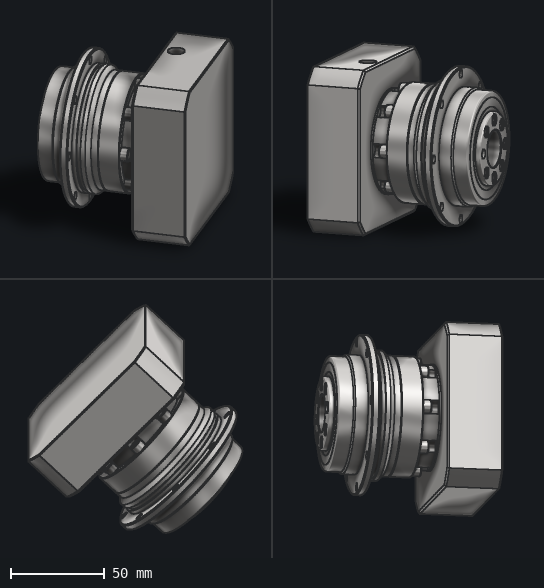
import cadquery as cq
import math


FLANGE_FACE = 0.0
HOUSING_FACE = 3.15
STEP_START = 11.4
STEP_END = 12.3
DISC_FRONT = 19.3
DISC_BACK = 23.6
GROOVE_START = 26.0
GROOVE_END = 28.4
TAPER_START = 31.05
STAGE_FRONT = 37.3
STAGE_SHOULDER = 49.4
STAGE_BACK = 58.8
PLATE_FRONT = 59.85
PLATE_BACK = 90.0

FLANGE_RADIUS = 20.0
NOSE_RADIUS = 31.05
HOUSING_RADIUS = 32.0
STAGE_RADIUS = 32.5
DISC_RADIUS = 43.0
COLLAR_RADIUS = 35.0
GROOVE_RADIUS = 33.7
EDGE_FILLET = 1.1
DISC_CHAMFER = 0.6

SEAL_INNER_RADIUS = 22.4
SEAL_OUTER_RADIUS = 27.45
SEAL_RECESS = 0.1

BORE_RADIUS = 10.0
BORE_DEPTH = 8.0
BORE_CHAMFER = 0.45

RING_COUNT = 8
DISC_HOLE_CIRCLE = 39.5
DISC_HOLE_RADIUS = 2.25
THREAD_CIRCLE = 15.75
THREAD_RADIUS = 2.1
THREAD_DEPTH = 9.9
COUNTERBORE_RADIUS = 3.15
COUNTERBORE_DEPTH = 0.9
DOWEL_RADIUS = 2.5
DRILL_POINT_ANGLE = 118.0

STAGE_CHAMFER = 0.45
NECK_RADIUS = 28.35
SCREW_CIRCLE = 28.6
SCREW_RADIUS = 3.6
SCREW_HEAD_HEIGHT = 4.6
SCREW_CHAMFER = 0.45
NOTCH_RADIUS = 3.8

LIP_RADIUS = 28.6
PLATE_SIDE = 90.0
PLATE_CORNER_RADIUS = 58.0
PLATE_FRONT_CHAMFER = 1.1
PLATE_BACK_CHAMFER = 0.5

ACCESS_X = 67.6
ACCESS_Y = 13.0
ACCESS_RADIUS = 4.6
ACCESS_DEPTH = 16.2
CLAMP_Y = 12.1
CLAMP_SEAT_RADIUS = 4.3
CLAMP_SEAT_DEPTH = 1.8
CLAMP_HOLE_RADIUS = 2.2
CLAMP_HOLE_DEPTH = 7.2
CLAMP_HOLE_CHAMFER = 0.5


def revolve_x(outline):
    """Turn an (x, radius) outline about the X axis."""
    profile = cq.Workplane("XY").polyline(outline).close()
    return profile.revolve(360, (0, 0, 0), (1, 0, 0))


def cylinder_x(radius, start, end, y=0.0, z=0.0):
    """Cylinder parallel to X."""
    plane = cq.Workplane("YZ", origin=(start, y, z))
    return plane.circle(radius).extrude(end - start)


def cylinder_down(radius, x, y, top, depth):
    """Cylinder going down from the height top."""
    plane = cq.Workplane("XY", origin=(x, y, top - depth))
    return plane.circle(radius).extrude(depth)


def drill_x(radius, start, depth, y, z):
    """Blind drilled hole along +X with a conical bottom."""
    point = radius / math.tan(math.radians(DRILL_POINT_ANGLE / 2))
    outline = [(start, 0), (start, radius), (start + depth, radius), (start + depth + point, 0)]
    return revolve_x(outline).translate((0, y, z))


def ring_places(circle_radius):
    """(y, z) places of an even ring, the first one on the +Y side."""
    angles = [2 * math.pi * i / RING_COUNT for i in range(RING_COUNT)]
    return [(circle_radius * math.cos(a), circle_radius * math.sin(a)) for a in angles]


def output_body():
    """Housing with mounting disc and groove, and the output flange on its front."""
    taper_end = TAPER_START + COLLAR_RADIUS - STAGE_RADIUS
    body = revolve_x([
        (HOUSING_FACE, 0),
        (HOUSING_FACE, NOSE_RADIUS),
        (STEP_START, NOSE_RADIUS),
        (STEP_END, HOUSING_RADIUS),
        (DISC_FRONT, HOUSING_RADIUS),
        (DISC_FRONT, COLLAR_RADIUS),
        (GROOVE_START, COLLAR_RADIUS),
        (GROOVE_START, GROOVE_RADIUS),
        (GROOVE_END, GROOVE_RADIUS),
        (GROOVE_END, COLLAR_RADIUS),
        (TAPER_START, COLLAR_RADIUS),
        (taper_end, STAGE_RADIUS),
        (STAGE_FRONT, STAGE_RADIUS),
        (STAGE_FRONT, 0),
    ])
    body = body.faces("<X").edges().fillet(EDGE_FILLET)
    disc = cylinder_x(DISC_RADIUS, DISC_FRONT, DISC_BACK).edges().chamfer(DISC_CHAMFER)
    flange = cylinder_x(FLANGE_RADIUS, FLANGE_FACE, HOUSING_FACE)
    flange = flange.faces("<X").edges().fillet(EDGE_FILLET)
    return body.union(disc).union(flange)


def seal_recess():
    """Shallow ring in the housing face, where the shaft seal sits."""
    end = HOUSING_FACE + SEAL_RECESS
    outer = cylinder_x(SEAL_OUTER_RADIUS, HOUSING_FACE, end)
    return outer.cut(cylinder_x(SEAL_INNER_RADIUS, HOUSING_FACE, end))


def centring_bore():
    """Blind bore in the output flange with a chamfered mouth."""
    mouth = BORE_RADIUS + BORE_CHAMFER
    return revolve_x([
        (FLANGE_FACE, 0),
        (FLANGE_FACE, mouth),
        (FLANGE_FACE + BORE_CHAMFER, BORE_RADIUS),
        (FLANGE_FACE + BORE_DEPTH, BORE_RADIUS),
        (FLANGE_FACE + BORE_DEPTH, 0),
    ])


def make_output_unit():
    unit = output_body().cut(seal_recess()).cut(centring_bore())
    for y, z in ring_places(DISC_HOLE_CIRCLE):
        unit = unit.cut(cylinder_x(DISC_HOLE_RADIUS, DISC_FRONT, DISC_BACK, y, z))
    dowel_place, *thread_places = ring_places(THREAD_CIRCLE)
    unit = unit.cut(drill_x(DOWEL_RADIUS, FLANGE_FACE, THREAD_DEPTH, *dowel_place))
    counterbore_end = FLANGE_FACE + COUNTERBORE_DEPTH
    for y, z in thread_places:
        unit = unit.cut(drill_x(THREAD_RADIUS, FLANGE_FACE, THREAD_DEPTH, y, z))
        unit = unit.cut(cylinder_x(COUNTERBORE_RADIUS, FLANGE_FACE, counterbore_end, y, z))
    return unit


def make_gear_stage():
    """Ring gear with a notched neck; the screw heads stand in the notches."""
    stage = cylinder_x(STAGE_RADIUS, STAGE_FRONT, STAGE_SHOULDER).edges().chamfer(STAGE_CHAMFER)
    neck = cylinder_x(NECK_RADIUS, STAGE_SHOULDER, STAGE_BACK)
    head_end = STAGE_SHOULDER + SCREW_HEAD_HEIGHT
    for y, z in ring_places(SCREW_CIRCLE):
        neck = neck.cut(cylinder_x(NOTCH_RADIUS, STAGE_SHOULDER, STAGE_BACK, y, z))
    stage = stage.union(neck)
    for y, z in ring_places(SCREW_CIRCLE):
        head = cylinder_x(SCREW_RADIUS, STAGE_SHOULDER - STAGE_CHAMFER, head_end, y, z)
        stage = stage.union(head.faces(">X").edges().chamfer(SCREW_CHAMFER))
    return stage


def clamp_access():
    """Access hole from the top, with the seat and hole of the clamping screw below it."""
    seat_top = PLATE_SIDE / 2 - ACCESS_DEPTH
    hole_top = seat_top - CLAMP_SEAT_DEPTH
    access = cylinder_down(ACCESS_RADIUS, ACCESS_X, ACCESS_Y, PLATE_SIDE / 2, ACCESS_DEPTH)
    seat = cylinder_down(CLAMP_SEAT_RADIUS, ACCESS_X, CLAMP_Y, seat_top, CLAMP_SEAT_DEPTH)
    hole = cylinder_down(CLAMP_HOLE_RADIUS, ACCESS_X, CLAMP_Y, hole_top, CLAMP_HOLE_DEPTH)
    mouth_plane = cq.Workplane("XY", origin=(ACCESS_X, CLAMP_Y, hole_top))
    mouth = mouth_plane.circle(CLAMP_HOLE_RADIUS + CLAMP_HOLE_CHAMFER)
    mouth = mouth.extrude(-CLAMP_HOLE_CHAMFER, taper=45)
    return access.union(seat).union(hole).union(mouth)


def make_motor_plate():
    thickness = PLATE_BACK - PLATE_FRONT
    plate = cq.Workplane("YZ", origin=(PLATE_FRONT, 0, 0)).rect(PLATE_SIDE, PLATE_SIDE).extrude(thickness)
    plate = plate.intersect(cylinder_x(PLATE_CORNER_RADIUS, PLATE_FRONT, PLATE_BACK))
    plate = plate.faces("<X").edges().chamfer(PLATE_FRONT_CHAMFER)
    plate = plate.faces(">X").edges().chamfer(PLATE_BACK_CHAMFER)
    plate = plate.union(cylinder_x(LIP_RADIUS, STAGE_BACK, PLATE_FRONT))
    return plate.cut(clamp_access())


output_unit = make_output_unit()
gear_stage = make_gear_stage()
motor_plate = make_motor_plate()

result = cq.Compound.makeCompound([output_unit.val(), gear_stage.val(), motor_plate.val()])